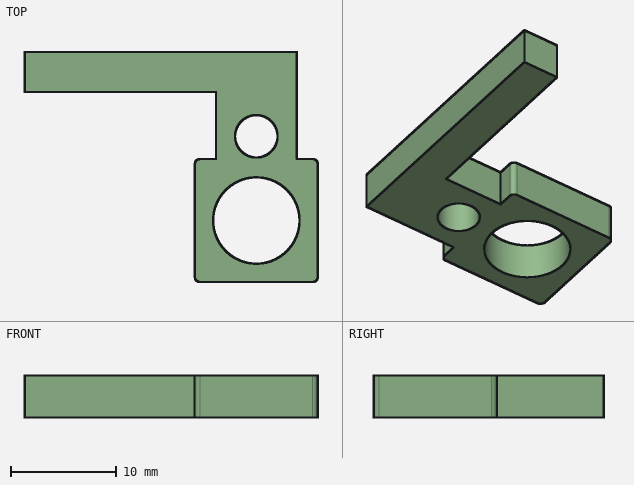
import cadquery as cq

length = 27.85
depth = 21.85
thickness = 4.0

block_side = 11.7
corner_radius = 0.5
large_hole_diameter = 8.2

neck_width = 7.7
arm_width = 3.82
small_hole_diameter = 4.0
hole_spacing = 8.0

block_front = -block_side / 2
arm_back = block_front + depth
arm_left = block_side / 2 - length
neck_right = neck_width / 2


def make_block():
    """Square block with rounded vertical corners, standing on Z = 0."""
    block = cq.Workplane("XY").rect(block_side, block_side).extrude(thickness)
    return block.edges("|Z").fillet(corner_radius)


def make_neck_and_arm():
    """L-shaped bar: the neck rises from the block centre and the arm turns to -X."""
    outline = [
        (neck_right, 0),
        (neck_right, arm_back),
        (arm_left, arm_back),
        (arm_left, arm_back - arm_width),
        (-neck_right, arm_back - arm_width),
        (-neck_right, 0),
    ]
    return cq.Workplane("XY").polyline(outline).close().extrude(thickness)


def make_hole(diameter, y):
    """Cutter for a through hole on the line X = 0."""
    return cq.Workplane("XY").center(0, y).circle(diameter / 2).extrude(thickness)


body = make_block().union(make_neck_and_arm())
body = body.cut(make_hole(large_hole_diameter, 0))
result = body.cut(make_hole(small_hole_diameter, hole_spacing))